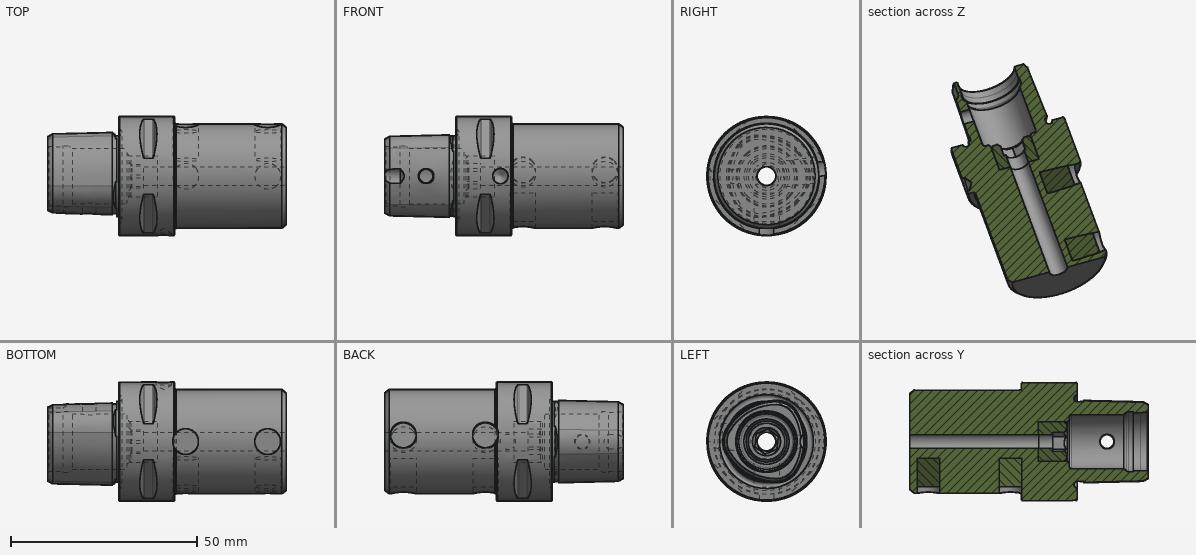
import cadquery as cq
import math


overall_length = 64.0
shank_tip_chamfer = 1.4
taper_end = 17.35
collar_start = 18.5
flange_start = 19.0
flange_end = 34.1
shoulder_length = 0.4

lobe_centre_offset = 5.1
lobe_angles = (0, 120, 240)
lobe_half_span = 30
tip_half_width = 9.9
front_half_width = 10.7
rear_half_width = 11.1
neck_half_width = 10.8
neck_radius = 10.9
neck_cone_radius = 11.85
neck_cone_length = 0.9

flange_radius = 16.0
flange_chamfer = 0.3
undercut_radius = 12.6
barrel_radius = 14.0
shoulder_radius = 14.2
barrel_chamfer_length = 1.15
barrel_chamfer_depth = 0.95

entry_radius = 8.0
entry_chamfer = 0.25
entry_taper_end = 2.2
locating_radius = 7.95
retention_start = 4.0
retention_radius = 8.2
retention_curve_start = 5.4
retention_end = 5.9
cone_end = 6.6
coolant_bore_radius = 7.4
bore_floor = 21.2
bore_floor_fillet = 0.5
thread_mouth_radius = 6.1
thread_start = 21.75
thread_radius = 5.5
channel_radius = 2.5

slot_count = 4
slot_first_angle = 45.0
slot_centre = 27.0
slot_floor_distance = 14.2
slot_floor_width = 2.55
slot_wall_angle = 30.0
slot_corner_radius = 0.4

notch_radius = 2.5
notch_axis_distance = 11.5
notch_depth = 4.15
cross_hole_position = 11.1
cross_hole_radius = 1.85
cross_hole_rim_radius = 2.1
marker_position = 31.05
marker_radius = 2.05
marker_depth = 0.8
drill_tip_angle = 118.0

stop_screw_length = 7.7
stop_screw_chamfer = 0.6
hex_across_flats = 5.95
hex_turn = 7.0
hex_depth = 3.85
hex_rim_radius = 3.8

clamp_positions = (37.0, 59.0)
clamp_angles = (7.5, -90.0)
clamp_radius = 3.45
clamp_inner_end = 4.5
clamp_outer_end = 12.15


def revolved(points):
    """Solid of revolution about the X axis from (x, radius) points."""
    return cq.Workplane("XY").polyline(points).close().revolve(360, (0, 0), (1, 0))


def around_axis(body, angle):
    return body.rotate((0, 0, 0), (1, 0, 0), angle)


def polar(radius, degrees):
    angle = math.radians(degrees)
    return (radius * math.cos(angle), radius * math.sin(angle))


def flank_distance(half_width):
    """Distance from the axis to the middle of a flank, opposite a lobe."""
    return half_width - lobe_centre_offset * (1 - math.cos(math.radians(lobe_half_span)))


def lobed_outline(section, half_width):
    """Constant-width outline of six tangent arcs, with one lobe toward +Y."""
    lobe_radius = half_width - lobe_centre_offset * math.cos(math.radians(lobe_half_span))

    def lobe_point(lobe_angle, turn):
        centre_y, centre_z = polar(lobe_centre_offset, lobe_angle)
        reach_y, reach_z = polar(lobe_radius, lobe_angle + turn)
        return (centre_y + reach_y, centre_z + reach_z)

    section = section.moveTo(*lobe_point(lobe_angles[0], -lobe_half_span))
    for lobe_angle in lobe_angles:
        section = section.threePointArc(lobe_point(lobe_angle, 0), lobe_point(lobe_angle, lobe_half_span))
        flank_middle = polar(flank_distance(half_width), lobe_angle + 2 * lobe_half_span)
        section = section.threePointArc(flank_middle, lobe_point(lobe_angle + 120, -lobe_half_span))
    return section.close()


def lobed_taper(start, end, start_half_width, end_half_width):
    section = lobed_outline(cq.Workplane("YZ", origin=(start, 0, 0)), start_half_width)
    section = lobed_outline(section.workplane(offset=end - start), end_half_width)
    return section.loft(ruled=True, combine=True)


def shank():
    tip = lobed_taper(0, shank_tip_chamfer, tip_half_width, front_half_width)
    taper = lobed_taper(shank_tip_chamfer, taper_end, front_half_width, rear_half_width)
    neck = lobed_taper(taper_end, collar_start, neck_half_width, neck_half_width)
    neck_limit = revolved([
        (taper_end, 0),
        (taper_end, neck_cone_radius),
        (taper_end + neck_cone_length, neck_radius),
        (collar_start, neck_radius),
        (collar_start, 0),
    ])
    return tip.union(taper).union(neck.intersect(neck_limit))


def flange_and_barrel():
    """Turned body whose flange face is undercut by a half-round groove around the collar."""
    undercut_half_width = (undercut_radius - neck_radius) / 2
    return (
        cq.Workplane("XY")
        .moveTo(collar_start, 0)
        .lineTo(collar_start, neck_radius)
        .lineTo(flange_start, neck_radius)
        .threePointArc(
            (flange_start + undercut_half_width, neck_radius + undercut_half_width),
            (flange_start, undercut_radius),
        )
        .lineTo(flange_start, flange_radius - flange_chamfer)
        .lineTo(flange_start + flange_chamfer, flange_radius)
        .lineTo(flange_end - flange_chamfer, flange_radius)
        .lineTo(flange_end, flange_radius - flange_chamfer)
        .lineTo(flange_end, shoulder_radius)
        .lineTo(flange_end + shoulder_length, barrel_radius)
        .lineTo(overall_length - barrel_chamfer_length, barrel_radius)
        .lineTo(overall_length, barrel_radius - barrel_chamfer_depth)
        .lineTo(overall_length, 0)
        .close()
        .revolve(360, (0, 0), (1, 0))
    )


def stepped_bore():
    """Bore from the shank tip: entry, retention groove, coolant bore, thread and channel."""
    thread_end = thread_start + stop_screw_length
    return (
        cq.Workplane("XY")
        .moveTo(0, 0)
        .lineTo(0, entry_radius + entry_chamfer)
        .lineTo(entry_chamfer, entry_radius)
        .lineTo(entry_taper_end, locating_radius)
        .lineTo(retention_start, locating_radius)
        .lineTo(retention_start, retention_radius)
        .lineTo(retention_curve_start, retention_radius)
        .tangentArcPoint((retention_end, locating_radius), relative=False)
        .lineTo(cone_end, coolant_bore_radius)
        .lineTo(bore_floor - bore_floor_fillet, coolant_bore_radius)
        .tangentArcPoint((bore_floor, coolant_bore_radius - bore_floor_fillet), relative=False)
        .lineTo(bore_floor, thread_mouth_radius)
        .lineTo(thread_start, thread_radius)
        .lineTo(thread_end, thread_radius)
        .lineTo(thread_end, channel_radius)
        .lineTo(overall_length, channel_radius)
        .lineTo(overall_length, 0)
        .close()
        .revolve(360, (0, 0), (1, 0))
    )


def gripper_slots():
    """Straight slots with sloping walls and rounded floor corners, spaced around the flange."""
    height = flange_radius - slot_floor_distance
    half_floor = slot_floor_width / 2
    half_top = half_floor + height * math.tan(math.radians(slot_wall_angle))
    slot = (
        cq.Workplane("XY")
        .polyline([
            (slot_centre - half_floor, slot_floor_distance),
            (slot_centre + half_floor, slot_floor_distance),
            (slot_centre + half_top, flange_radius),
            (slot_centre - half_top, flange_radius),
        ])
        .close()
        .extrude(flange_radius, both=True)
        .edges("|Z and <Y")
        .fillet(slot_corner_radius)
    )
    slots = cq.Workplane("XY")
    for index in range(slot_count):
        slots = slots.add(around_axis(slot, slot_first_angle + index * 360 / slot_count))
    return slots


def drive_notch():
    """Axial drilled notch with a 90 degree bottom, open to the -Y side of the shank."""
    notch = revolved([
        (0, 0),
        (0, notch_radius),
        (notch_depth, notch_radius),
        (notch_depth + notch_radius, 0),
    ])
    return notch.translate((0, -notch_axis_distance, 0))


def drilled_from_front(position, profile):
    """Round hole along Y at a place on X, from (radius, y) points."""
    hole = cq.Workplane("XY").polyline(profile).close().revolve(360, (0, 0), (0, 1))
    return hole.translate((position, 0, 0))


def cross_hole():
    """Hole from the -Y flank into the bore, with a small countersink."""
    flank_share = (cross_hole_position - shank_tip_chamfer) / (taper_end - shank_tip_chamfer)
    half_width = front_half_width + flank_share * (rear_half_width - front_half_width)
    flank_y = -flank_distance(half_width)
    countersink = cross_hole_rim_radius - cross_hole_radius
    return drilled_from_front(cross_hole_position, [
        (0, 0),
        (cross_hole_radius, 0),
        (cross_hole_radius, flank_y + countersink),
        (cross_hole_rim_radius, flank_y),
        (cross_hole_rim_radius, -flange_radius),
        (0, -flange_radius),
    ])


def marker_hole():
    """Blind drilled hole in the -Y side of the flange."""
    tip_length = marker_radius / math.tan(math.radians(drill_tip_angle / 2))
    floor_y = -flange_radius + marker_depth
    return drilled_from_front(marker_position, [
        (0, -flange_radius),
        (marker_radius, -flange_radius),
        (marker_radius, floor_y),
        (0, floor_y + tip_length),
    ])


def clamp_cylinders(outer_end):
    """Radial cylinders at the four clamping places, from their inner end outward."""
    cylinders = cq.Workplane("XY")
    for position in clamp_positions:
        for angle in clamp_angles:
            cylinder = (
                cq.Workplane("XZ", origin=(position, clamp_inner_end, 0))
                .circle(clamp_radius)
                .extrude(clamp_inner_end - outer_end)
            )
            cylinders = cylinders.add(around_axis(cylinder, angle))
    return cylinders


def make_holder():
    body = shank().union(flange_and_barrel()).cut(stepped_bore())
    for cutter in (drive_notch(), cross_hole(), marker_hole()):
        body = body.cut(cutter)
    for cutter in gripper_slots().vals() + clamp_cylinders(flange_radius).vals():
        body = body.cut(cq.Workplane(cutter))
    return body


def make_stop_screw():
    """Threaded plug with a hexagon socket, a countersunk rim and a coolant hole."""
    screw = revolved([
        (0, channel_radius),
        (0, thread_radius - stop_screw_chamfer),
        (stop_screw_chamfer, thread_radius),
        (stop_screw_length, thread_radius),
        (stop_screw_length, channel_radius),
    ])
    socket = (
        cq.Workplane("YZ")
        .polygon(6, hex_across_flats / math.cos(math.radians(30)))
        .extrude(hex_depth)
    )
    socket = around_axis(socket, 90 + hex_turn)
    rim = revolved([(0, 0), (0, hex_rim_radius), (hex_rim_radius, 0)])
    return screw.cut(socket).cut(rim).translate((thread_start, 0, 0))


holder = make_holder()
stop_screw = make_stop_screw()
clamp_screws = clamp_cylinders(clamp_outer_end)

result = cq.Compound.makeCompound([holder.val(), stop_screw.val(), *clamp_screws.vals()])